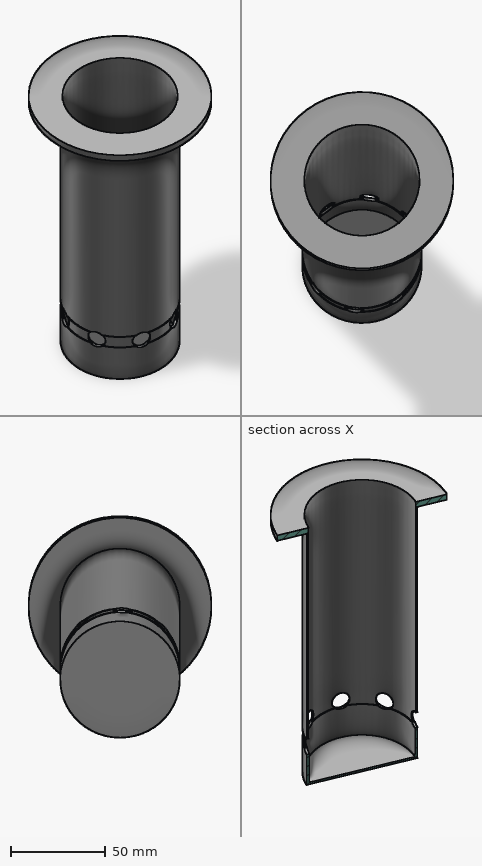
import cadquery as cq

total_height = 171.1
flange_diameter = 97.0
flange_thickness = 4.0
tube_diameter = 63.5
bore_diameter = 61.1

lower_bore_diameter = 60.2
floor_height = (tube_diameter - lower_bore_diameter) / 2

hole_diameter = 10.1
hole_count = 8
hole_height = 25.7
band_width = 7.4
band_depth = 0.3
band_bottom = hole_height - band_width / 2
band_top = hole_height + band_width / 2


def cylinder(diameter, bottom, top):
    """Upright cylinder on the Z axis between two heights."""
    return cq.Workplane("XY").workplane(offset=bottom).circle(diameter / 2).extrude(top - bottom)


def radial_hole(angle):
    """Cutter for one hole, running outward from the axis."""
    cutter = (
        cq.Workplane("YZ")
        .center(0, hole_height)
        .circle(hole_diameter / 2)
        .extrude(tube_diameter)
    )
    return cutter.rotate((0, 0, 0), (0, 0, 1), angle)


outside = cylinder(tube_diameter, 0, total_height)
flange = cylinder(flange_diameter, total_height - flange_thickness, total_height)
result = outside.union(flange)

result = result.cut(cylinder(bore_diameter, band_bottom, total_height))
result = result.cut(cylinder(lower_bore_diameter, floor_height, band_bottom))

band = cylinder(tube_diameter, band_bottom, band_top)
band_core = cylinder(tube_diameter - 2 * band_depth, band_bottom, band_top)
result = result.cut(band.cut(band_core))

for index in range(hole_count):
    result = result.cut(radial_hole(index * 360 / hole_count))